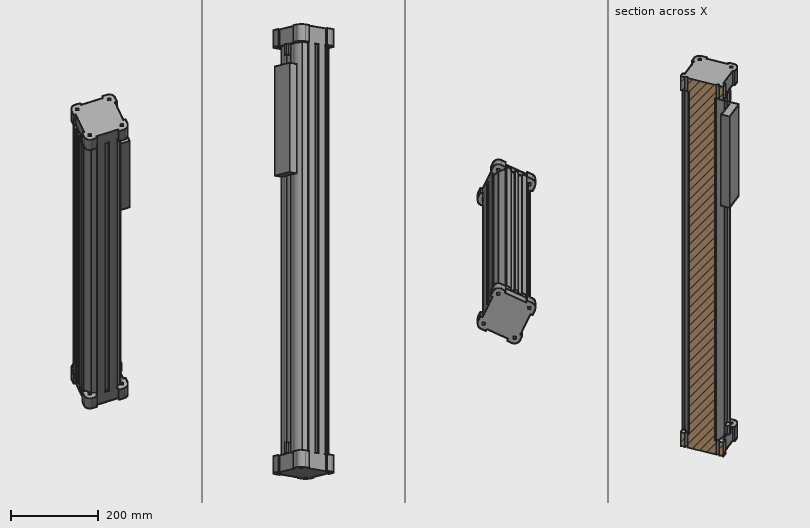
import cadquery as cq
import math

total_length = 1030.0
overall_depth = 117.0
cap_height = 39.0
profile_length = total_length - 2 * cap_height
axis_y = -4.6

cap_width = 106.0
pad_step = 5.0
pad_gap = 54.0
screw_spacing = 78.0
screw_hole_diameter = 6.7
pad_corner_radius = (cap_width - screw_spacing) / 2

side_x = cap_width / 2 - pad_step
side_half_height = 25.0
notch_x = 43.0
notch_y = 24.0
lip_x = 38.0
lip_y = 35.0
lip_chamfer_x = 36.0
lip_chamfer_y = 37.0
front_shoulder_y = 48.0
rib_projection = 1.0
front_y = cap_width / 2 + rib_projection
front_half_width = 26.0
back_y = 43.0
back_round_diameter = 63.0
back_round_radius = back_round_diameter / 2
back_round_center_x = 16.0

side_slot_width = 9.0
side_slot_depth = 5.0
front_groove_inner_x = 4.0
front_groove_outer_x = 14.0
front_groove_depth = 4.0

strip_width = 14.0
strip_depth = 5.0
strip_block_length = 25.0
strip_block_y = cap_width / 2
strip_block_chamfer = 3.6

carriage_width = 54.0
carriage_length = 254.0
carriage_top_z = 426.0
carriage_outer_y = overall_depth - front_y


def block(width, y_start, y_end, length, x=0, z=0):
    """A box centred on x and z that spans y_start to y_end, measured from the axis."""
    middle_y = axis_y + (y_start + y_end) / 2
    return cq.Workplane("XY").box(width, y_end - y_start, length).translate((x, middle_y, z))


def make_profile_core():
    """The profile without its slots, from the inner face of one cap to that of the other."""
    right_side = [
        (front_half_width, -front_y),
        (front_half_width, -front_shoulder_y),
        (lip_chamfer_x, -lip_chamfer_y),
        (lip_x, -lip_y),
        (notch_x, -notch_y),
        (side_x, -side_half_height),
        (side_x, side_half_height),
        (notch_x, notch_y),
    ]
    round_center_y = back_y - back_round_radius
    start_angle = math.acos((lip_x - back_round_center_x) / back_round_radius)
    mid_angle = (start_angle + math.pi / 2) / 2

    def round_point(angle):
        x = back_round_center_x + back_round_radius * math.cos(angle)
        return x, round_center_y + back_round_radius * math.sin(angle)

    def mirrored(point):
        return -point[0], point[1]

    round_start = round_point(start_angle)
    round_middle = round_point(mid_angle)
    round_end = round_point(math.pi / 2)
    left_side = [mirrored(point) for point in reversed(right_side)]
    return (
        cq.Workplane("XY", origin=(0, axis_y, -profile_length / 2))
        .polyline(right_side + [round_start])
        .threePointArc(round_middle, round_end)
        .lineTo(*mirrored(round_end))
        .threePointArc(mirrored(round_middle), mirrored(round_start))
        .polyline(left_side, includeCurrent=True)
        .close()
        .extrude(profile_length)
    )


def cut_slots(profile):
    """Cut the side slots, the two front grooves and the seat of the cover strip."""
    groove_width = front_groove_outer_x - front_groove_inner_x
    groove_x = (front_groove_outer_x + front_groove_inner_x) / 2
    for side in (-1, 1):
        slot_x = side * (side_x - side_slot_depth / 2)
        half_slot = side_slot_width / 2
        profile = profile.cut(block(side_slot_depth, -half_slot, half_slot, profile_length, slot_x))
        groove_floor_y = -front_y + front_groove_depth
        profile = profile.cut(block(groove_width, -front_y, groove_floor_y, profile_length, side * groove_x))
    return profile.cut(block(strip_width, back_y - strip_depth, back_y, profile_length))


def make_cap(bottom_z, outer_face):
    """An end cap with flats between its corner pads and blind screw holes in its outer face."""
    half_width = cap_width / 2
    cap = block(cap_width, -half_width, half_width, cap_height, z=bottom_z + cap_height / 2)
    cap = cap.edges("|Z").fillet(pad_corner_radius)
    flats = (
        cq.Workplane("XY", origin=(0, axis_y, bottom_z))
        .polarArray(half_width, 0, 360, 4)
        .rect(2 * pad_step, pad_gap)
        .extrude(cap_height)
    )
    cap = cap.cut(flats)
    return (
        cap.faces(outer_face)
        .workplane(origin=(0, axis_y, 0))
        .rect(screw_spacing, screw_spacing, forConstruction=True)
        .vertices()
        .hole(screw_hole_diameter, cap_height)
    )


def make_housing(profile_core):
    """The slotted profile in one piece with both end caps."""
    top_cap = make_cap(profile_length / 2, ">Z")
    bottom_cap = make_cap(-total_length / 2, "<Z")
    return cut_slots(profile_core).union(top_cap).union(bottom_cap).clean()


def make_cover_strip():
    """The strip that fills the back seat of the profile, with a chamfered block at each end."""
    strip = block(strip_width, back_y - strip_depth, back_y, profile_length)
    for end in (-1, 1):
        block_z = end * (profile_length - strip_block_length) / 2
        end_block = block(strip_width, back_y - strip_depth, strip_block_y, strip_block_length, z=block_z)
        strip = strip.union(end_block.faces(">Y").edges("|Z").chamfer(strip_block_chamfer))
    return strip


def make_carriage(profile_core):
    """The carriage block, hollowed underneath to sit on the rounded back of the profile."""
    carriage_z = carriage_top_z - carriage_length / 2
    carriage = block(carriage_width, back_y - strip_depth, carriage_outer_y, carriage_length, z=carriage_z)
    return carriage.cut(profile_core)


profile_core = make_profile_core()
housing = make_housing(profile_core)
cover_strip = make_cover_strip()
carriage = make_carriage(profile_core)

result = cq.Compound.makeCompound(
    [
        housing.solids().val(),
        cover_strip.solids().val(),
        carriage.solids().val(),
    ]
)